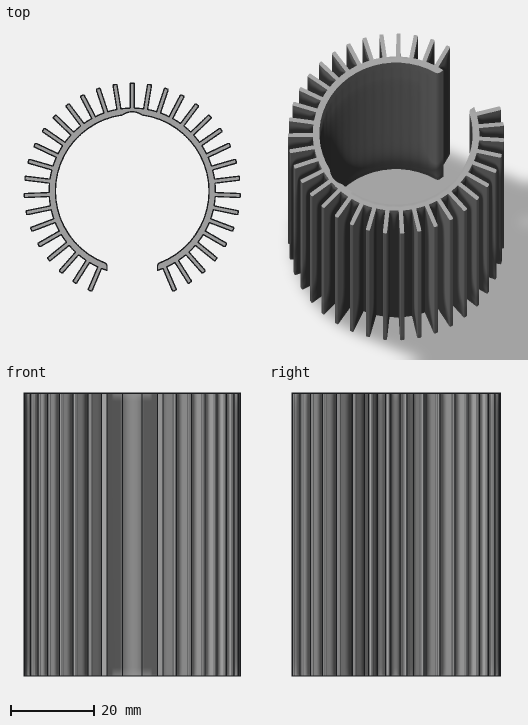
import cadquery as cq
import math

length = 68.0
ring_outer_radius = 20.0
ring_inner_radius = 18.4
gap_width = 12.05
lip_fillet = 0.95

fin_tip_radius = 26.0
fin_thickness = 1.0
fin_tip_fillet = 0.25
fin_positions = 39
fins_per_side = 17
fin_pitch = 360.0 / fin_positions

groove_width = 4.75
groove_radius = 4.0


def make_ring():
    """Ring wall, opened on the -Y side by a parallel-sided gap."""
    ring = cq.Workplane("XY").circle(ring_outer_radius).circle(ring_inner_radius).extrude(length)
    gap = cq.Workplane("XY").center(0, -ring_outer_radius / 2)
    ring = ring.cut(gap.rect(gap_width, ring_outer_radius).extrude(length))
    lip_y = -math.sqrt(ring_inner_radius**2 - (gap_width / 2) ** 2)
    for lip_x in (-gap_width / 2, gap_width / 2):
        lip = cq.selectors.NearestToPointSelector((lip_x, lip_y, length / 2))
        ring = ring.edges(lip).fillet(lip_fillet)
    return ring


def make_fin(angle):
    """Flat radial fin rooted inside the ring wall, turned by angle from +Y."""
    root_radius = (ring_outer_radius + ring_inner_radius) / 2
    fin_height = fin_tip_radius - root_radius
    fin = cq.Workplane("XY").center(0, root_radius + fin_height / 2)
    fin = fin.rect(fin_thickness, fin_height).extrude(length)
    fin = fin.faces(">Y").edges("|Z").fillet(fin_tip_fillet)
    return fin.rotate((0, 0, 0), (0, 0, 1), angle)


def make_groove():
    """Cylinder that cuts a shallow round groove of groove_width into the bore."""
    half_width = groove_width / 2
    chord_y = math.sqrt(ring_inner_radius**2 - half_width**2)
    center_y = chord_y - math.sqrt(groove_radius**2 - half_width**2)
    return cq.Workplane("XY").center(0, center_y).circle(groove_radius).extrude(length)


result = make_ring()
for index in range(-fins_per_side, fins_per_side + 1):
    result = result.union(make_fin(index * fin_pitch))
result = result.cut(make_groove())